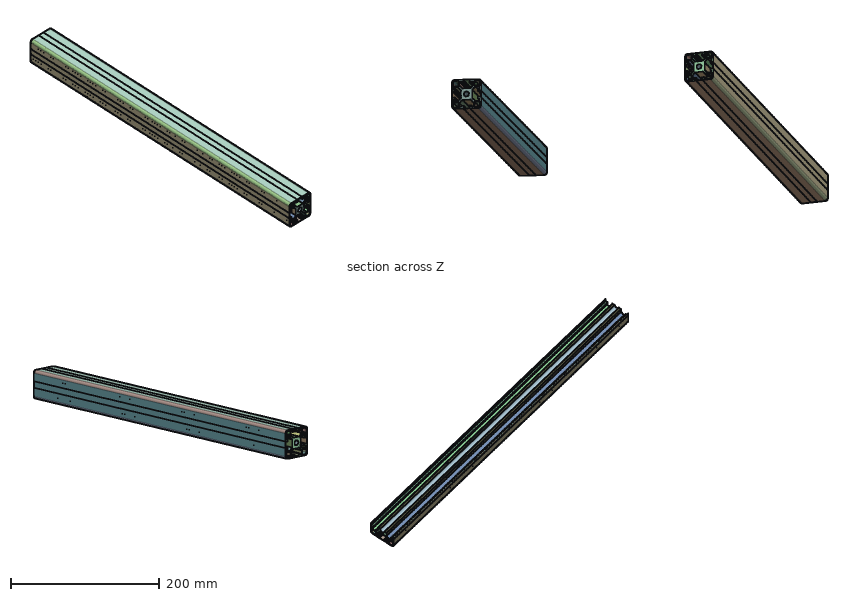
import cadquery as cq

length = 500.0
side = 40.0
corner_radius = 4.0
half_side = side / 2

outer_wall = 1.75
chamber_size = 7.0
chamber_radius = corner_radius - outer_wall

cover_wall = 0.5
mouth_cover_half_width = 4.5
mouth_half_width = 4.1
lip_depth = 4.25
hook_width = 2.5
hook_height = 1.5
hook_slope_width = 0.5
slot_half_width = 10.0
shoulder_depth = 7.75
slot_depth = 12.25
floor_half_width = slot_half_width - (slot_depth - shoulder_depth)

bore_diameter = 6.8
slot_count = 4
slot_pitch_angle = 360.0 / slot_count


def extrude_full_length(sketch):
    """Extrude a YZ section over the whole bar, symmetric about X = 0."""
    return sketch.extrude(length / 2, both=True)


def make_bar():
    """Solid square bar with rounded long edges, centred on the origin."""
    bar = extrude_full_length(cq.Workplane("YZ").rect(side, side))
    return bar.edges("|X").fillet(corner_radius)


def make_slot():
    """T-slot behind the +Z face; the face itself stays closed by a thin cover."""
    hook_half_width = mouth_half_width + hook_width
    lip_z = half_side - lip_depth
    undercut_z = lip_z + hook_height
    right_half = [
        (mouth_cover_half_width, half_side - cover_wall),
        (mouth_half_width, lip_z),
        (hook_half_width, lip_z),
        (hook_half_width + hook_slope_width, undercut_z),
        (slot_half_width, undercut_z),
        (slot_half_width, half_side - shoulder_depth),
        (floor_half_width, half_side - slot_depth),
    ]
    left_half = [(-y, z) for y, z in reversed(right_half)]
    return extrude_full_length(cq.Workplane("YZ").polyline(right_half + left_half).close())


def make_chamber():
    """Corner chamber at +Y +Z, rounded concentrically with the outer corner."""
    centre = half_side - outer_wall - chamber_size / 2
    section = cq.Workplane("YZ").center(centre, centre).rect(chamber_size, chamber_size)
    return extrude_full_length(section).edges("|X and >Y and >Z").fillet(chamber_radius)


def make_bore():
    """Central round bore along the whole length."""
    return extrude_full_length(cq.Workplane("YZ").circle(bore_diameter / 2))


result = make_bar().cut(make_bore())
slot = make_slot()
chamber = make_chamber()
for index in range(slot_count):
    turn = index * slot_pitch_angle
    for cavity in (slot, chamber):
        result = result.cut(cavity.rotate((0, 0, 0), (1, 0, 0), turn))